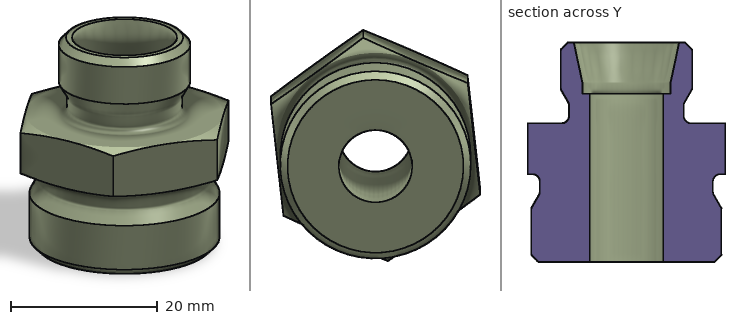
import cadquery as cq
import math

total_height = 30.0
hex_bottom = 12.0
hex_top = 19.0
lower_thread_top = 7.4
upper_thread_bottom = 23.6

hex_corner_diameter = 31.18
lower_thread_radius = 26.0 / 2
lower_neck_radius = 23.7 / 2
upper_thread_radius = 18.0 / 2
upper_neck_radius = 15.7 / 2
end_chamfer = 1.0
neck_fillet = 1.0
relief_angle = 30
hex_chamfer_angle = 15

bore_diameter = 10.0
seat_diameter = 12.0
mouth_diameter = 14.35
seat_depth = 6.98
seat_cone_half_angle = 12


def thread_end(thread_radius, neck_radius, end_z, thread_z, face_z):
    """Revolved spigot between its free end (end_z) and the hexagon face (face_z)."""
    toward_hex = math.copysign(1, face_z - end_z)
    relief_length = (thread_radius - neck_radius) / math.tan(math.radians(relief_angle))
    neck_z = thread_z + toward_hex * relief_length

    turn = math.radians(relief_angle)
    tangent_length = neck_fillet * math.tan(turn / 2)
    round_center_r = neck_radius + neck_fillet
    round_end_z = neck_z + toward_hex * tangent_length
    round_start = (
        neck_radius + tangent_length * math.sin(turn),
        neck_z - toward_hex * tangent_length * math.cos(turn),
    )
    round_middle = (
        round_center_r - neck_fillet * math.cos(turn / 2),
        round_end_z - toward_hex * neck_fillet * math.sin(turn / 2),
    )

    flare_z = face_z - toward_hex * neck_fillet
    diagonal = neck_fillet * math.sqrt(0.5)
    flare_middle = (round_center_r - diagonal, flare_z + toward_hex * diagonal)

    profile = (
        cq.Workplane("XZ")
        .moveTo(0, end_z)
        .lineTo(thread_radius - end_chamfer, end_z)
        .lineTo(thread_radius, end_z + toward_hex * end_chamfer)
        .lineTo(thread_radius, thread_z)
        .lineTo(*round_start)
        .threePointArc(round_middle, (neck_radius, round_end_z))
        .lineTo(neck_radius, flare_z)
        .threePointArc(flare_middle, (round_center_r, face_z))
        .lineTo(0, face_z)
        .close()
    )
    return profile.revolve(360, (0, 0, 0), (0, 1, 0))


def hexagon():
    """Hexagon with corners on the Y axis, its corners trimmed by a cone at both ends."""
    corner_radius = hex_corner_diameter / 2
    flat_radius = corner_radius * math.cos(math.radians(30))
    corner_drop = (corner_radius - flat_radius) * math.tan(math.radians(hex_chamfer_angle))
    prism = (
        cq.Workplane("XY")
        .workplane(offset=hex_bottom)
        .polygon(6, hex_corner_diameter)
        .extrude(hex_top - hex_bottom)
        .rotate((0, 0, 0), (0, 0, 1), 90)
    )
    envelope = (
        cq.Workplane("XZ")
        .moveTo(0, hex_bottom)
        .lineTo(flat_radius, hex_bottom)
        .lineTo(corner_radius, hex_bottom + corner_drop)
        .lineTo(corner_radius, hex_top - corner_drop)
        .lineTo(flat_radius, hex_top)
        .lineTo(0, hex_top)
        .close()
        .revolve(360, (0, 0, 0), (0, 1, 0))
    )
    return prism.intersect(envelope)


def bore():
    """Through bore with a flat-bottomed tube seat and conical mouth at the top."""
    seat_z = total_height - seat_depth
    mouth_widening = (mouth_diameter - seat_diameter) / 2
    cone_length = mouth_widening / math.tan(math.radians(seat_cone_half_angle))
    return (
        cq.Workplane("XZ")
        .lineTo(bore_diameter / 2, 0)
        .lineTo(bore_diameter / 2, seat_z)
        .lineTo(seat_diameter / 2, seat_z)
        .lineTo(seat_diameter / 2, total_height - cone_length)
        .lineTo(mouth_diameter / 2, total_height)
        .lineTo(0, total_height)
        .close()
        .revolve(360, (0, 0, 0), (0, 1, 0))
    )


lower_end = thread_end(lower_thread_radius, lower_neck_radius, 0, lower_thread_top, hex_bottom)
upper_end = thread_end(
    upper_thread_radius, upper_neck_radius, total_height, upper_thread_bottom, hex_top
)
result = hexagon().union(lower_end).union(upper_end).cut(bore())